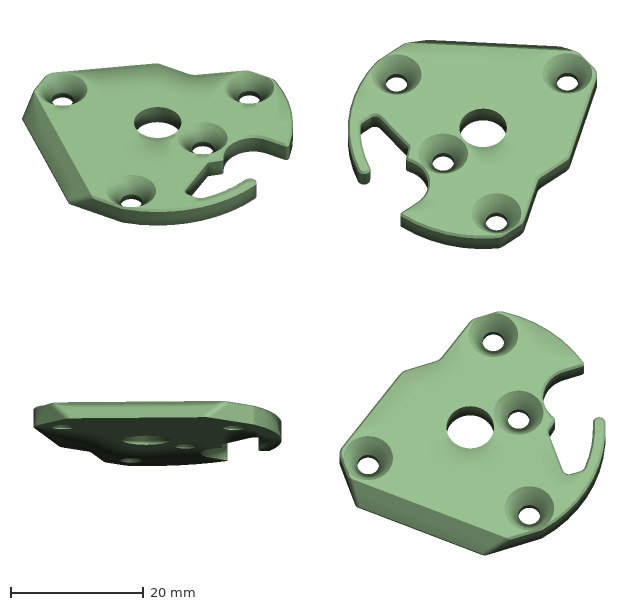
import cadquery as cq
import math

THICKNESS = 3.0
EDGE_CHAMFER = 0.32

RIM_RADIUS = 20.5
LEFT_X = -20.25
BOTTOM_Y = -19.98
TOP_Y = 17.55
SHELF_Y = 12.5
LEFT_TOP_Y = 2.6
STEP_START_X = -0.7
SLOPE = math.tan(math.radians(36))
BEVEL_LEFT_Y = -5.78
BEVEL_BOTTOM_X = -4.55
CORNER_RADIUS = 2.0
TIP_RADIUS = 0.5

BEVEL_LAND = 0.32
BEVEL_CORNER_RADIUS = 1.0
BEVEL_SETBACK = THICKNESS - BEVEL_LAND

NOTCH_X = 16.4
NOTCH_RADIUS = 4.5
SLOT_X = 10.95
SLOT_FLOOR_Y = -12.3
SLOT_TOP_Y = -4.37
BUMP_X = 12.85
SLOT_CORNER_RADIUS = 1.0
BUMP_RADIUS = 0.52
HOOK_WIDTH = 1.93
HOOK_TIP_ANGLE = math.radians(-16.1)

MAIN_HOLE_DIAMETER = 7.2
SCREW_HOLE_DIAMETER = 3.3
SCREW_HEAD_DIAMETER = 7.5
SCREW_HEAD_ANGLE = 90
SCREW_POSITIONS = [(-16.33, 0), (7.75, 0), (8.4, 13.75), (4.0, -15.95)]


def polar(radius, angle):
    return (radius * math.cos(angle), radius * math.sin(angle))


def rim_x(y, radius=RIM_RADIUS):
    return math.sqrt(radius**2 - y**2)


shelf_start = (LEFT_X + (SHELF_Y - LEFT_TOP_Y) / SLOPE, SHELF_Y)
step_start = (STEP_START_X, SHELF_Y)
step_end = (STEP_START_X + (TOP_Y - SHELF_Y) / SLOPE, TOP_Y)
left_top = (LEFT_X, LEFT_TOP_Y)
bevel_left = (LEFT_X, BEVEL_LEFT_Y)
bevel_bottom = (BEVEL_BOTTOM_X, BOTTOM_Y)
rim_top = (rim_x(TOP_Y), TOP_Y)
rim_bottom = (rim_x(BOTTOM_Y), BOTTOM_Y)
rim_tip = (rim_x(NOTCH_RADIUS), NOTCH_RADIUS)
slot_top = (SLOT_X, SLOT_TOP_Y)
slot_left = (SLOT_X, SLOT_FLOOR_Y)
hook_inner_radius = RIM_RADIUS - HOOK_WIDTH
slot_right = (rim_x(SLOT_FLOOR_Y, hook_inner_radius), SLOT_FLOOR_Y)
bump = (BUMP_X, -math.sqrt(NOTCH_RADIUS**2 - (NOTCH_X - BUMP_X)**2))

hook_mid_radius = RIM_RADIUS - HOOK_WIDTH / 2
tip_centre = polar(hook_mid_radius, HOOK_TIP_ANGLE)
hook_tip = (tip_centre[0] - HOOK_WIDTH / 2 * math.sin(HOOK_TIP_ANGLE),
            tip_centre[1] + HOOK_WIDTH / 2 * math.cos(HOOK_TIP_ANGLE))


def arc_middle(start, end):
    """Point halfway along the origin-centred arc between two points."""
    angle = (math.atan2(start[1], start[0]) + math.atan2(end[1], end[0])) / 2
    return polar(math.hypot(*start), angle)


def make_plate():
    hook_inner = polar(hook_inner_radius, HOOK_TIP_ANGLE)
    hook_outer = polar(RIM_RADIUS, HOOK_TIP_ANGLE)
    return (
        cq.Workplane("XY")
        .moveTo(*bevel_left)
        .lineTo(*left_top)
        .lineTo(*shelf_start)
        .lineTo(*step_start)
        .lineTo(*step_end)
        .lineTo(*rim_top)
        .threePointArc(arc_middle(rim_top, rim_tip), rim_tip)
        .lineTo(NOTCH_X, NOTCH_RADIUS)
        .threePointArc((NOTCH_X - NOTCH_RADIUS, 0), bump)
        .lineTo(*slot_top)
        .lineTo(*slot_left)
        .lineTo(*slot_right)
        .threePointArc(arc_middle(slot_right, hook_inner), hook_inner)
        .threePointArc(hook_tip, hook_outer)
        .threePointArc(arc_middle(hook_outer, rim_bottom), rim_bottom)
        .lineTo(*bevel_bottom)
        .close()
        .extrude(THICKNESS)
    )


def upright_edge(corner):
    """Selector for the upright edge nearest to an outline corner."""
    return cq.selectors.NearestToPointSelector((corner[0], corner[1], THICKNESS / 2))


def round_corners(plate):
    corner_radii = [
        (left_top, CORNER_RADIUS),
        (shelf_start, CORNER_RADIUS),
        (step_start, CORNER_RADIUS),
        (step_end, CORNER_RADIUS),
        (rim_top, CORNER_RADIUS),
        (rim_tip, TIP_RADIUS),
        (bump, BUMP_RADIUS),
        (slot_top, BUMP_RADIUS),
        (slot_left, SLOT_CORNER_RADIUS),
        (slot_right, SLOT_CORNER_RADIUS),
        (rim_bottom, CORNER_RADIUS),
    ]
    for corner, radius in corner_radii:
        plate = plate.edges("|Z").edges(upright_edge(corner)).fillet(radius)
    return plate


def bevel_side(plate):
    """Slope the lower-left side and round the two corners it ends in."""
    middle = ((bevel_left[0] + bevel_bottom[0]) / 2, (bevel_left[1] + bevel_bottom[1]) / 2, THICKNESS)
    along = cq.Vector(bevel_left[0] - bevel_bottom[0], bevel_left[1] - bevel_bottom[1], 0)
    outward = cq.Vector(0, 0, 1).cross(along).normalized()
    section = cq.Plane(origin=middle, xDir=outward, normal=along)
    cutter = (
        cq.Workplane(section)
        .polyline([(-BEVEL_SETBACK, 0), (0, -BEVEL_SETBACK), (BEVEL_SETBACK, 0)])
        .close()
        .extrude(RIM_RADIUS, both=True)
    )
    plate = plate.cut(cutter)
    for corner in (bevel_left, bevel_bottom):
        sloping_edge = cq.selectors.NearestToPointSelector((*corner, THICKNESS / 2))
        plate = plate.edges("not (#Z or |Z)").edges(sloping_edge).fillet(BEVEL_CORNER_RADIUS)
    return plate


def drill_holes(plate):
    centre = cq.Workplane("XY").circle(MAIN_HOLE_DIAMETER / 2).extrude(THICKNESS)
    return (
        plate.cut(centre)
        .copyWorkplane(cq.Workplane("XY", origin=(0, 0, THICKNESS)))
        .pushPoints(SCREW_POSITIONS)
        .cskHole(SCREW_HOLE_DIAMETER, SCREW_HEAD_DIAMETER, SCREW_HEAD_ANGLE)
    )


plate = round_corners(make_plate())
plate = plate.faces(">Z").edges().chamfer(EDGE_CHAMFER)
plate = bevel_side(plate)
result = drill_holes(plate)